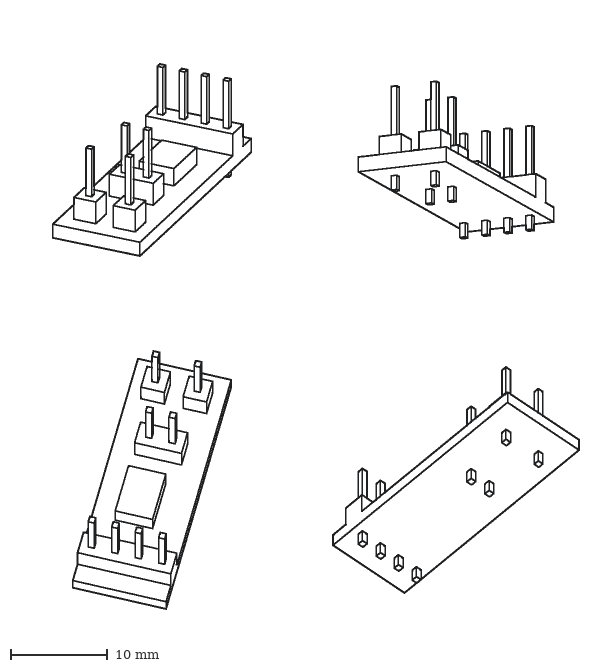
import cadquery as cq

board_width = 10.0
board_length = 27.0
board_thickness = 1.6

pin_length = 11.1
pin_pitch = 2.5
pin_side = 0.65
pin_drop = 1.5
body_height = 2.5

main_pin_count = 4
main_header_y = 10.25

jumper_pin_count = 2
jumper_y = -3.75

single_y = -main_header_y
single_spacing = 4.5

chip_width = 4.0
chip_length = 5.5
chip_height = 2.0
chip_x = 0.5
chip_y = 2.75


def block_on_board(width, length, height, x, y):
    """Block rooted in the underside of the board and rising above its top face."""
    full_height = board_thickness + height
    return cq.Workplane("XY").box(width, length, full_height, centered=(True, True, False)).translate((x, y, 0))


def pin_header(pin_count, x, y, body_width):
    """Row of pins along X, running through one plastic body and the board."""
    header = block_on_board(body_width, pin_pitch, body_height, x, y)
    first_pin_x = x - (pin_count - 1) * pin_pitch / 2
    for index in range(pin_count):
        pin = cq.Workplane("XY").box(pin_side, pin_side, pin_length, centered=(True, True, False))
        header = header.union(pin.translate((first_pin_x + index * pin_pitch, y, -pin_drop)))
    return header


board = cq.Workplane("XY").box(board_width, board_length, board_thickness, centered=(True, True, False))
chip = block_on_board(chip_width, chip_length, chip_height, chip_x, chip_y)
main_header = pin_header(main_pin_count, 0, main_header_y, board_width)
jumper = pin_header(jumper_pin_count, 0, jumper_y, jumper_pin_count * pin_pitch)

result = board.union(chip).union(main_header).union(jumper)
for side in (-1, 1):
    single_header = pin_header(1, side * single_spacing / 2, single_y, pin_pitch)
    result = result.union(single_header)

result = result.clean()